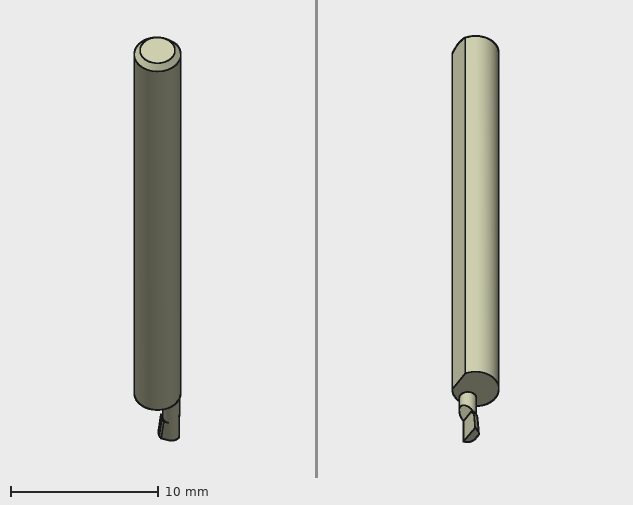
import cadquery as cq
import math


overall_length = 38.1
shank_diameter = 3.175
shank_radius = shank_diameter / 2
width_across_flat = 2.92
flat_y = width_across_flat - shank_radius
shank_bottom_z = 3.86
shank_chamfer = 0.4

neck_radius = 0.585
neck_x = shank_radius - neck_radius

rake_face_y = 0.0
runout_start_z = 2.1
runout_end_z = runout_start_z + 2 * neck_radius

tip_height = 1.83
tip_bottom_x = 0.05
side_taper_angle = 6.0
relief_width = 0.23
relief_depth = 0.42
relief_bulge = 0.01
heel_width = 0.2

end_clearance_angle = 2.0
end_relief_angle = 6.0
corner_chamfer = 0.075


def make_shank():
    """Round bar with a chamfered top end and a flat along its +Y side."""
    length = overall_length - shank_bottom_z
    bar = (
        cq.Workplane("XY", origin=(0, 0, shank_bottom_z))
        .circle(shank_radius)
        .extrude(length)
        .faces(">Z")
        .chamfer(shank_chamfer)
    )
    beyond_flat = (
        cq.Workplane("XY", origin=(0, flat_y, shank_bottom_z))
        .rect(shank_diameter, shank_diameter)
        .extrude(length)
        .translate((0, shank_radius, 0))
    )
    return bar.cut(beyond_flat)


def make_neck():
    """Offset round neck, cut down to a half round below the runout."""
    neck = cq.Workplane("XY").center(neck_x, 0).circle(neck_radius).extrude(shank_bottom_z)
    removed_half = (
        cq.Workplane("YZ")
        .moveTo(rake_face_y, 0)
        .lineTo(rake_face_y, runout_start_z)
        .lineTo(rake_face_y + 2 * neck_radius, runout_end_z)
        .lineTo(rake_face_y + 2 * neck_radius, 0)
        .close()
        .extrude(shank_diameter)
    )
    return neck.cut(removed_half)


def tip_section(z):
    """Tip outline at height z: curved relief, flat heel, then a base tangent to the neck."""
    edge_x = tip_bottom_x + z * math.tan(math.radians(side_taper_angle))
    relief_x = edge_x + relief_width
    relief_y = rake_face_y - relief_depth
    relief_length = math.hypot(relief_width, relief_depth)
    bulge_x = (edge_x + relief_x) / 2 - relief_bulge * relief_depth / relief_length
    bulge_y = (rake_face_y + relief_y) / 2 - relief_bulge * relief_width / relief_length
    outline = (
        cq.Workplane("XY", origin=(0, 0, z))
        .moveTo(edge_x, rake_face_y)
        .threePointArc((bulge_x, bulge_y), (relief_x, relief_y))
        .lineTo(relief_x + heel_width, -neck_radius)
        .lineTo(neck_x, -neck_radius)
        .lineTo(neck_x, rake_face_y)
        .close()
    )
    return outline.wires().val()


def make_tip():
    """Tip body, narrowing upward along its cutting side."""
    sections = [tip_section(0), tip_section(tip_height)]
    return cq.Workplane(cq.Solid.makeLoft(sections, True))


def end_cutter():
    """Block below the end face, tilted about the cutting corner."""
    corner_x = tip_bottom_x + corner_chamfer
    block = (
        cq.Workplane("XY")
        .rect(2 * shank_diameter, 2 * shank_diameter)
        .extrude(-shank_radius)
        .rotate((0, 0, 0), (1, 0, 0), -end_relief_angle)
        .rotate((0, 0, 0), (0, 1, 0), -end_clearance_angle)
    )
    return block.translate((corner_x, rake_face_y, 0))


def corner_cutter():
    """Triangular prism that chamfers the cutting corner."""
    return (
        cq.Workplane("XZ", origin=(tip_bottom_x, rake_face_y, 0))
        .polyline([(0, 0), (corner_chamfer, 0), (0, corner_chamfer)])
        .close()
        .extrude(neck_radius)
    )


cutting_end = make_neck().union(make_tip()).cut(end_cutter()).cut(corner_cutter())
result = make_shank().union(cutting_end)